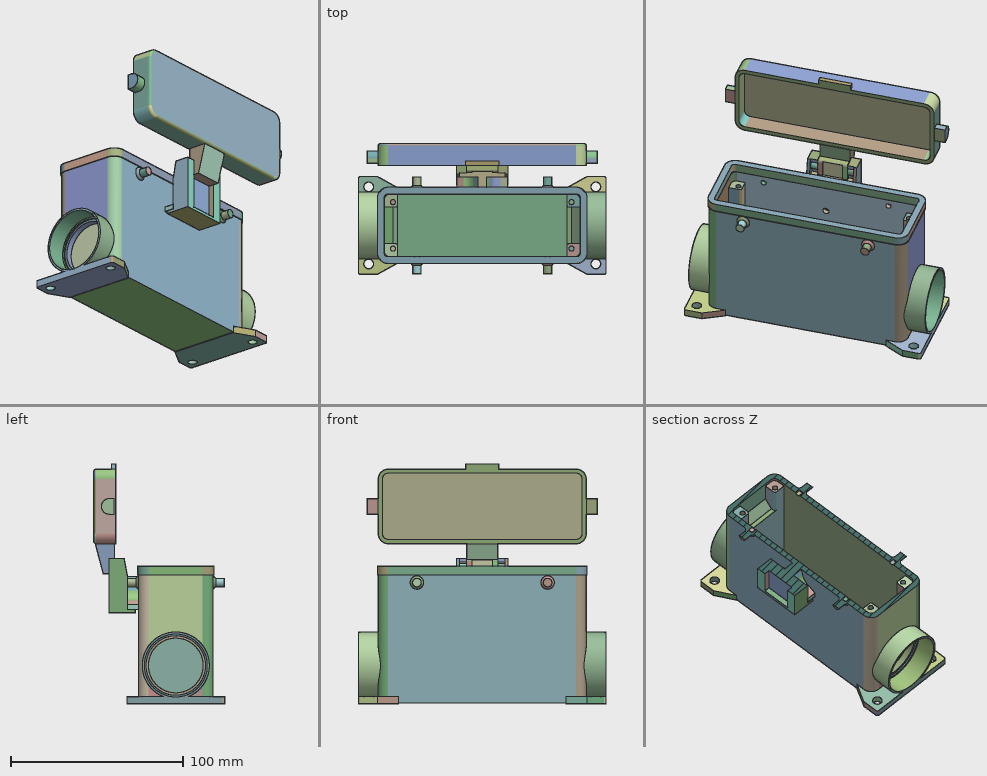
import cadquery as cq

body_length = 121.0
body_width = 43.5
body_bottom = 0.5
body_top = 80.0
body_corner_radius = 6.0
rim_overhang = 0.5
rim_height = 5.2
rim_bottom = body_top - rim_height

cavity_length = 114.0
cavity_width = 36.4
mouth_corner_radius = 2.0
cavity_corner_radius = 3.0
cavity_draft_step = 0.1
floor_thickness = 3.0
cavity_floor = body_bottom + floor_thickness

end_block_thickness = 7.8
end_block_top = 52.0
wedge_size = 5.0
pillar_top = 68.2
pillar_width = 7.6
pillar_edge_radius = 1.3
screw_hole_diameter = 3.0
screw_hole_depth = 10.0
screw_x = 51.9
screw_y = 13.5

overall_length = 144.0
foot_width = 57.0
foot_thickness = 4.2
foot_shoulder_x = 61.0
foot_tip_x = 48.7
foot_tip_y = 21.7
foot_corner_radius = 1.2
foot_hole_diameter = 5.5
foot_hole_x = 66.0
foot_hole_y = 22.4

entry_height = 22.3
entry_diameter = 39.0
entry_bore_diameter = 36.6
entry_bore_depth = 12.0
entry_step_diameter = 34.6
entry_step_depth = 13.0
entry_hole_diameter = 31.8
entry_hole_depth = 17.0

pin_x = 38.0
pin_height = 70.5
pin_diameter = 5.0
pin_base_diameter = 7.8
pin_base_length = 1.5
pin_tip_y = 28.2
pin_hole_diameter = 3.0
pin_hole_depth = 3.0
hole_end_y = cavity_width / 2 + pin_hole_depth
hinge_hole_height = 58.5
hinge_hole_diameter = 3.6

bracket_half_width = 15.0
bracket_bottom = 52.9
bracket_top = 84.6
bracket_back_y = 38.9
bracket_front_y = 28.0
bracket_top_front_y = 30.0
bracket_plate_thickness = 1.8
bracket_plate_front_y = 23.5
cheek_thickness = 1.8
bracket_base_top = 74.1
ear_lip_front_y = 30.5
ear_lip_height = 2.2
ear_recess_front_y = 32.8
web_top = 84.0
web_front_y = 30.7
web_top_radius = 1.5
web_recess_half_width = 6.0
web_recess_depth = 0.5
hinge_boss_diameter = 5.0
hinge_boss_y = 33.0
hinge_boss_height = 79.0
gusset_half_width = 14.7
gusset_bottom = bracket_bottom + bracket_plate_thickness

cover_length = 121.0
cover_height = 43.5
cover_bottom = 93.0
cover_front_y = 34.8
cover_back_y = 47.75
cover_corner_radius = 6.0
cover_back_fillet = 1.5
cover_rim = 2.4
cover_rim_lower = 2.6
cover_floor_thickness = 2.5
cover_center_z = cover_bottom + cover_height / 2
cover_top = cover_bottom + cover_height

tab_width = 19.4
tab_thickness = 2.6
overall_height = 139.5

peg_tip_x = 66.9
peg_diameter = 9.1
peg_flat_y = 36.0
peg_center_y = 38.7

lug_width = 18.2
lug_front_y = 35.5
lug_bottom = 75.5
lug_bottom_back_y = 42.2
lug_root_back_y = 47.0
lug_root_z = 93.6


def box(x_range, y_range, z_range):
    """Box between two limits on each axis."""
    size = [b - a for a, b in (x_range, y_range, z_range)]
    corner = (x_range[0], y_range[0], z_range[0])
    return cq.Workplane("XY").box(*size, centered=False).translate(corner)


def rounded_block(length, width, bottom, top, radius):
    """Upright block centred on Z with rounded vertical edges."""
    block = cq.Workplane("XY").workplane(offset=bottom).rect(length, width).extrude(top - bottom)
    return block.edges("|Z").fillet(radius)


def y_cylinder(x, z, diameter, y_start, y_end):
    """Cylinder along Y between two Y positions."""
    plane = cq.Workplane("XZ", origin=(x, y_start, z))
    return plane.circle(diameter / 2).extrude(y_start - y_end)


def mirrored_ends(shape):
    """The shape at the -X end together with its mirror image at the +X end."""
    return shape.union(shape.mirror("YZ"))


def make_feet():
    """Two flanged mounting feet, each with two screw holes."""
    half_length = overall_length / 2
    half_width = foot_width / 2
    foot = (
        cq.Workplane("XY")
        .polyline([
            (-half_length, -half_width),
            (-foot_shoulder_x, -half_width),
            (-foot_tip_x, -foot_tip_y),
            (-foot_tip_x, foot_tip_y),
            (-foot_shoulder_x, half_width),
            (-half_length, half_width),
        ])
        .close()
        .extrude(foot_thickness)
        .edges("|Z and <X")
        .fillet(foot_corner_radius)
    )
    holes = (
        cq.Workplane("XY")
        .pushPoints([(-foot_hole_x, -foot_hole_y), (-foot_hole_x, foot_hole_y)])
        .circle(foot_hole_diameter / 2)
        .extrude(foot_thickness)
    )
    return mirrored_ends(foot.cut(holes))


def entry_cylinder(diameter, depth):
    """Cylinder from the -X end face inwards, on the cable entry axis."""
    plane = cq.Workplane("YZ", origin=(-overall_length / 2, 0, entry_height))
    return plane.circle(diameter / 2).extrude(depth)


def make_entry_collars():
    """Round collars standing out from both end walls."""
    collar_length = (overall_length - cavity_length) / 2
    return mirrored_ends(entry_cylinder(entry_diameter, collar_length))


def make_entry_bores():
    """Stepped blind bores of the cable entries."""
    bore = entry_cylinder(entry_bore_diameter, entry_bore_depth)
    bore = bore.union(entry_cylinder(entry_step_diameter, entry_step_depth))
    bore = bore.union(entry_cylinder(entry_hole_diameter, entry_hole_depth))
    return mirrored_ends(bore)


def make_end_blocks():
    """Thick end walls with a wedge on top and a screw pillar in each corner."""
    wall_x = -cavity_length / 2
    block_x = wall_x + end_block_thickness
    half_width = cavity_width / 2
    block = box((wall_x, block_x), (-half_width, half_width), (cavity_floor, end_block_top))
    wedge = (
        cq.Workplane("XZ", origin=(0, half_width, 0))
        .polyline([
            (wall_x, end_block_top),
            (wall_x + wedge_size, end_block_top),
            (wall_x, end_block_top + wedge_size),
        ])
        .close()
        .extrude(cavity_width)
    )
    pillar = box(
        (wall_x, block_x),
        (half_width - pillar_width, half_width),
        (end_block_top, pillar_top),
    )
    pillar = pillar.edges("|Z and >X and <Y").fillet(pillar_edge_radius)
    screw_hole = (
        cq.Workplane("XY", origin=(-screw_x, screw_y, pillar_top))
        .circle(screw_hole_diameter / 2)
        .extrude(-screw_hole_depth)
    )
    pillar = pillar.cut(screw_hole)
    return mirrored_ends(block.union(wedge).union(pillar).union(pillar.mirror("XZ")))


def make_cavity():
    """Open interior: the mouth behind the rim and the space below it."""
    mouth = rounded_block(cavity_length, cavity_width, rim_bottom, body_top, mouth_corner_radius)
    lower = rounded_block(
        cavity_length - 2 * cavity_draft_step,
        cavity_width - 2 * cavity_draft_step,
        cavity_floor,
        rim_bottom,
        cavity_corner_radius,
    )
    return mouth.union(lower).cut(make_end_blocks())


def make_pin(x):
    """Locking pin on the +Y wall with a conical base."""
    wall_y = body_width / 2
    shank = y_cylinder(x, pin_height, pin_diameter, hole_end_y, pin_tip_y)
    cone = cq.Solid.makeCone(
        pin_base_diameter / 2,
        pin_diameter / 2,
        pin_base_length,
        cq.Vector(x, wall_y, pin_height),
        cq.Vector(0, 1, 0),
    )
    return shank.union(cq.Workplane(obj=cone))


def make_gusset():
    """+X half of the curved mound that carries the bracket on the +Y wall."""
    crest_half_width = 2.4
    shoulder = (4.8, 65.8)
    hollow_middle = (6.7, 62.0)
    hollow_end = (10.7, 59.9)
    outer_height = 57.7
    return (
        cq.Workplane("XZ", origin=(0, bracket_front_y, 0))
        .moveTo(0, gusset_bottom)
        .lineTo(0, bracket_base_top)
        .lineTo(crest_half_width, bracket_base_top)
        .lineTo(*shoulder)
        .threePointArc(hollow_middle, hollow_end)
        .lineTo(gusset_half_width, outer_height)
        .lineTo(gusset_half_width, gusset_bottom)
        .close()
        .extrude(bracket_front_y - hole_end_y)
    )


def make_bracket():
    """Hinge bracket: plate and base below, two ears with hinge bosses and a web between them."""
    cheek_x = bracket_half_width - cheek_thickness
    lug_x = lug_width / 2
    plate = box(
        (-bracket_half_width, bracket_half_width),
        (bracket_plate_front_y, bracket_back_y),
        (bracket_bottom, gusset_bottom),
    )
    base = box(
        (-cheek_x, cheek_x),
        (bracket_front_y, lug_front_y),
        (gusset_bottom, bracket_base_top),
    )
    web = box((-lug_x, lug_x), (web_front_y, lug_front_y), (gusset_bottom, web_top))
    web = web.edges("|X and >Z and <Y").fillet(web_top_radius)
    web_recess = box(
        (-web_recess_half_width, web_recess_half_width),
        (web_front_y, web_front_y + web_recess_depth),
        (bracket_base_top, web_top),
    )
    web = web.cut(web_recess)
    cheek = (
        cq.Workplane("YZ", origin=(cheek_x, 0, 0))
        .polyline([
            (bracket_back_y, bracket_bottom),
            (bracket_back_y, bracket_top),
            (bracket_top_front_y, bracket_top),
            (bracket_front_y, bracket_base_top),
            (bracket_front_y, bracket_bottom),
        ])
        .close()
        .extrude(cheek_thickness)
    )
    ear = box(
        (lug_x, cheek_x),
        (ear_recess_front_y, bracket_back_y),
        (bracket_bottom, bracket_top),
    )
    ear_lip = box(
        (lug_x, cheek_x),
        (ear_lip_front_y, ear_recess_front_y),
        (bracket_top - ear_lip_height, bracket_top),
    )
    hinge_boss = (
        cq.Workplane("YZ", origin=(lug_x, hinge_boss_y, hinge_boss_height))
        .circle(hinge_boss_diameter / 2)
        .extrude(cheek_x - lug_x)
    )
    side = cheek.union(ear).union(ear_lip).union(hinge_boss).union(make_gusset())
    return plate.union(base).union(web).union(mirrored_ends(side))


def make_housing():
    """Housing with feet, cable entries, pins and the hinge bracket."""
    shell = rounded_block(body_length, body_width, body_bottom, body_top, body_corner_radius)
    rim = rounded_block(
        body_length + 2 * rim_overhang,
        body_width + 2 * rim_overhang,
        rim_bottom,
        body_top,
        body_corner_radius + rim_overhang,
    )
    solid = shell.union(rim).union(make_feet()).union(make_entry_collars())
    solid = solid.cut(make_cavity()).cut(make_entry_bores())
    for x in (-pin_x, pin_x):
        pin = make_pin(x)
        pin_hole = y_cylinder(x, pin_height, pin_hole_diameter, 0, hole_end_y)
        solid = solid.union(pin).union(pin.mirror("XZ"))
        solid = solid.cut(pin_hole).cut(pin_hole.mirror("XZ"))
    solid = solid.union(make_bracket())
    return solid.cut(y_cylinder(0, hinge_hole_height, hinge_hole_diameter, 0, hole_end_y))


def make_cover():
    """Tray-shaped cover standing open, with side pegs, a finger tab and a hinge lug."""
    depth = cover_back_y - cover_front_y
    tray = (
        cq.Workplane("XZ", origin=(0, cover_back_y, cover_center_z))
        .rect(cover_length, cover_height)
        .extrude(depth)
        .edges("|Y")
        .fillet(cover_corner_radius)
        .faces(">Y")
        .edges()
        .fillet(cover_back_fillet)
    )
    recess_height = cover_height - cover_rim - cover_rim_lower
    recess_center_z = cover_center_z + (cover_rim_lower - cover_rim) / 2
    recess = (
        cq.Workplane("XZ", origin=(0, cover_back_y - cover_floor_thickness, recess_center_z))
        .rect(cover_length - 2 * cover_rim, recess_height)
        .extrude(depth)
        .edges("|Y")
        .fillet(cover_corner_radius - cover_rim)
    )
    tab = box(
        (-tab_width / 2, tab_width / 2),
        (cover_front_y, cover_front_y + tab_thickness),
        (cover_top - cover_rim, overall_height),
    )
    peg_radius = peg_diameter / 2
    peg = (
        cq.Workplane("YZ", origin=(-peg_tip_x, 0, 0))
        .moveTo(peg_flat_y, cover_center_z - peg_radius)
        .lineTo(peg_center_y, cover_center_z - peg_radius)
        .threePointArc(
            (peg_center_y + peg_radius, cover_center_z),
            (peg_center_y, cover_center_z + peg_radius),
        )
        .lineTo(peg_flat_y, cover_center_z + peg_radius)
        .close()
        .extrude(peg_tip_x - cover_length / 2 + cover_rim / 2)
    )
    lug = (
        cq.Workplane("YZ", origin=(-lug_width / 2, 0, 0))
        .polyline([
            (lug_front_y, lug_bottom),
            (lug_bottom_back_y, lug_bottom),
            (lug_root_back_y, lug_root_z),
            (lug_front_y, lug_root_z),
        ])
        .close()
        .extrude(lug_width)
    )
    return tray.cut(recess).union(tab).union(mirrored_ends(peg)).union(lug)


housing = make_housing()
cover = make_cover()
result = cq.Compound.makeCompound([housing.val(), cover.val()])